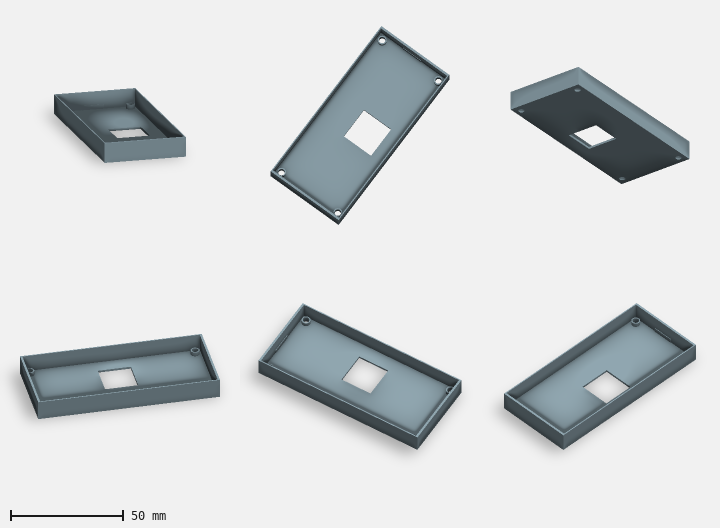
import cadquery as cq

length = 82.5
width = 37.5
height = 9.0
end_wall = 1.0
side_wall = 0.5
floor_thickness = 1.0

window_size = 15.0
window_offset_y = 4.1

standoff_diameter = 4.0
standoff_bore = 2.9
standoff_height = 2.0
standoff_spacing_x = 75.0
standoff_spacing_y = 31.0

ridge_length = 10.0
ridge_projection = 0.25
ridge_offset_y = -1.1

cavity_length = length - 2 * end_wall
cavity_width = width - 2 * side_wall


def make_tray():
    body = cq.Workplane("XY").box(length, width, height, centered=(True, True, False))
    cavity = (
        cq.Workplane("XY", origin=(0, 0, floor_thickness))
        .rect(cavity_length, cavity_width)
        .extrude(height - floor_thickness)
    )
    return body.cut(cavity)


def make_window():
    return (
        cq.Workplane("XY")
        .center(0, window_offset_y)
        .rect(window_size, window_size)
        .extrude(floor_thickness)
    )


def corner_cylinders(diameter):
    """Cylinders at the standoff positions, from the underside to the standoff tops."""
    return (
        cq.Workplane("XY")
        .rect(standoff_spacing_x, standoff_spacing_y, forConstruction=True)
        .vertices()
        .circle(diameter / 2)
        .extrude(floor_thickness + standoff_height)
    )


def make_ridge():
    """Ridge rooted in the end wall, rising from the floor to the standoff tops."""
    depth = end_wall / 2 + ridge_projection
    center_x = -cavity_length / 2 + ridge_projection - depth / 2
    return (
        cq.Workplane("XY")
        .center(center_x, ridge_offset_y)
        .rect(depth, ridge_length)
        .extrude(floor_thickness + standoff_height)
    )


result = (
    make_tray()
    .union(corner_cylinders(standoff_diameter))
    .union(make_ridge())
    .cut(corner_cylinders(standoff_bore))
    .cut(make_window())
)